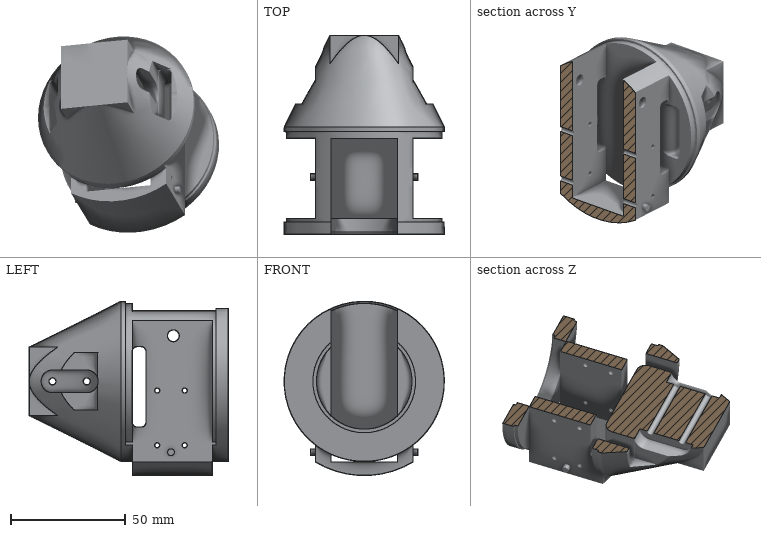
import cadquery as cq
import math


length = 87.0
disc_end = 5.4
bay_start = 7.0
bay_end = 41.9
rim_start = 45.0
rim_end = 47.0

outer_radius = 35.02
seat_radius = 34.1
belly_radius = 41.195
bore_radius = 20.9
counterbore_radius = 22.45
counterbore_depth = 1.1

body_half_width = 21.4
channel_half_width = 14.4
shoulder_drop = math.sqrt(belly_radius**2 - body_half_width**2)

nose_width = 29.9
nose_length = 13.9

pocket_height = 25.05
pocket_start = 57.1
arm_width = 9.9
arm_floor = 15.3
arm_hole_diameter = 3.0
arm_hole_stations = (61.9, 76.8)

pin_diameter = 3.0
pin_tip = 23.5
pin_station, pin_z = 25.05, -31.0
cable_hole_diameter = 5.05
cable_hole_station, cable_hole_z = 24.0, 19.9
screw_hole_diameter = 2.1
screw_stations = (19.05, 31.1)
screw_heights = (-4.0, -27.9)

window_width = 5.9
window_top, window_bottom = 15.1, -19.9
window_corner_radius = 2.0

passage_outer = 27.5
passage_inner = passage_outer - window_width
passage_bend_radius = 4.35
passage_edge_radius = 2.0
passage_overrun = 2.6


def cylinder_y(radius, start, end):
    """Cylinder about the main axis between two stations."""
    return cq.Workplane("XZ", origin=(0, start, 0)).circle(radius).extrude(start - end)


def cylinder_x(diameter, station, z, half_length):
    """Cylinder along X, centred on the YZ plane."""
    return cq.Workplane("YZ", origin=(0, station, z)).circle(diameter / 2).extrude(half_length, both=True)


def block(half_width, y_start, y_end, z_bottom, z_top):
    """Box centred on X = 0."""
    size_y = y_end - y_start
    size_z = z_top - z_bottom
    box = cq.Workplane("XY").box(2 * half_width, size_y, size_z, centered=(True, False, False))
    return box.translate((0, y_start, z_bottom))


def make_cone():
    """Rim and cone, ending in a square nose."""
    tip_radius = nose_width / 2
    cone = (
        cq.Workplane("XY")
        .moveTo(0, rim_start)
        .lineTo(outer_radius, rim_start)
        .lineTo(outer_radius, rim_end)
        .lineTo(tip_radius, length)
        .lineTo(0, length)
        .close()
        .revolve(360, (0, 0, 0), (0, 1, 0))
    )
    nose = block(tip_radius, length - nose_length, length, -tip_radius, tip_radius)
    return cone.union(nose)


def make_bay():
    """Front disc, cover seats and the flat-sided body between them."""
    disc = cylinder_y(outer_radius, 0, disc_end)
    front_seat = cylinder_y(seat_radius, disc_end, bay_start)
    back_seat = cylinder_y(seat_radius, bay_end, rim_start)
    seat_fill = cylinder_y(outer_radius, disc_end, rim_start).intersect(
        block(body_half_width, disc_end, rim_start, -outer_radius, 0)
    )
    upper_body = cylinder_y(seat_radius, bay_start, bay_end).intersect(
        block(body_half_width, bay_start, bay_end, 0, seat_radius)
    )
    lower_body = cylinder_y(belly_radius, bay_start, bay_end).intersect(
        block(body_half_width, bay_start, bay_end, -belly_radius, 0)
    )
    bay = disc.union(front_seat).union(back_seat).union(seat_fill).union(upper_body).union(lower_body)
    channel = block(channel_half_width, bay_start, bay_end, -shoulder_drop, outer_radius)
    mouth = block(channel_half_width, 0, bay_start, 0, outer_radius)
    bore = cylinder_y(bore_radius, 0, bay_start)
    counterbore = cylinder_y(counterbore_radius, 0, counterbore_depth)
    return bay.cut(channel).cut(mouth).cut(bore).cut(counterbore)


def make_side_pocket():
    """Pocket and arm recess on the +X side of the cone."""
    depth = outer_radius - body_half_width
    pocket = (
        cq.Workplane("XY")
        .box(depth, length - pocket_start, pocket_height, centered=(False, False, True))
        .translate((body_half_width, pocket_start, 0))
    )
    first, last = arm_hole_stations
    recess = (
        cq.Workplane("YZ", origin=(arm_floor, (first + last) / 2, 0))
        .slot2D(last - first + arm_width, arm_width)
        .extrude(outer_radius - arm_floor)
    )
    return pocket.union(recess)


def make_window():
    """Rounded window through both bay walls."""
    height = window_top - window_bottom
    centre = (0, bay_end - window_width / 2, window_bottom + height / 2)
    window = cq.Workplane("XY", origin=centre).box(2 * body_half_width, window_width, height)
    return window.edges("|X").fillet(window_corner_radius)


def make_passage():
    """L-shaped passage on the +X side with rounded edges and a rounded inner bend."""
    front = bay_end - window_width
    back = pocket_start + passage_overrun
    bend_start = passage_inner - passage_bend_radius
    passage = (
        cq.Workplane("XY")
        .moveTo(0, front)
        .lineTo(passage_outer, front)
        .lineTo(passage_outer, back)
        .lineTo(passage_inner, back)
        .lineTo(passage_inner, bay_end + passage_bend_radius)
        .radiusArc((bend_start, bay_end), passage_bend_radius)
        .lineTo(0, bay_end)
        .close()
        .extrude(pocket_height / 2, both=True)
    )
    return passage.faces("<Z or >Z").edges().fillet(passage_edge_radius)


def both_sides(feature):
    """The feature together with its mirror image across X = 0."""
    return feature.union(feature.mirror("YZ"))


result = make_bay().union(make_cone())

pins = cylinder_x(pin_diameter, pin_station, pin_z, pin_tip)
result = result.union(pins.cut(block(channel_half_width, 0, length, -belly_radius, 0)))

result = result.cut(both_sides(make_side_pocket()))
result = result.cut(make_window())
result = result.cut(both_sides(make_passage()))

for station in arm_hole_stations:
    result = result.cut(cylinder_x(arm_hole_diameter, station, 0, outer_radius))

result = result.cut(cylinder_x(cable_hole_diameter, cable_hole_station, cable_hole_z, outer_radius))

for station in screw_stations:
    for height in screw_heights:
        result = result.cut(cylinder_x(screw_hole_diameter, station, height, outer_radius))